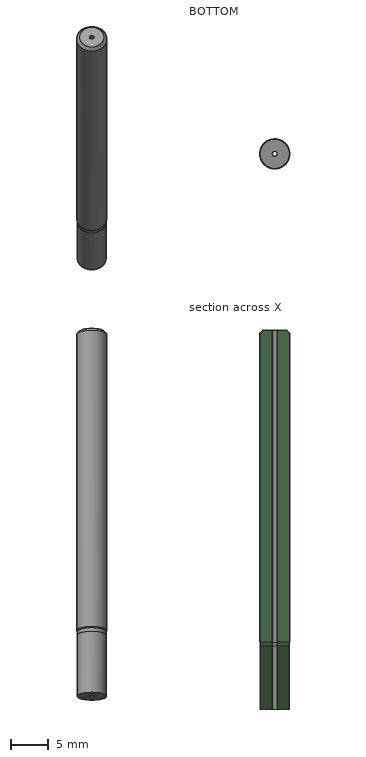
import cadquery as cq

total_length = 50.0
rod_diameter = 4.0
tip_diameter = 3.85
bore_diameter = 0.6

tip_length = 8.35
joint_thickness = 0.5
rod_bottom = tip_length + joint_thickness

top_chamfer = 0.4
bottom_taper_height = 0.15


def bored_cylinder(diameter, bottom, length):
    """Upright cylinder on the Z axis with the common through bore."""
    return (
        cq.Workplane("XY")
        .workplane(offset=bottom)
        .circle(diameter / 2)
        .circle(bore_diameter / 2)
        .extrude(length)
    )


def make_rod():
    """Long rod, bevelled at the top and tapered to the tip diameter at the bottom."""
    rod_radius = rod_diameter / 2
    bore_radius = bore_diameter / 2
    profile = [
        (bore_radius, rod_bottom),
        (tip_diameter / 2, rod_bottom),
        (rod_radius, rod_bottom + bottom_taper_height),
        (rod_radius, total_length - top_chamfer),
        (rod_radius - top_chamfer, total_length),
        (bore_radius, total_length),
    ]
    return cq.Workplane("XZ").polyline(profile).close().revolve(360, (0, 0, 0), (0, 1, 0))


def make_joint():
    """Thin joining disc between the rod and the tip."""
    return bored_cylinder(tip_diameter, tip_length, joint_thickness)


def make_tip():
    """Plain cylindrical tip at the lower end."""
    return bored_cylinder(tip_diameter, 0, tip_length)


rod = make_rod()
joint = make_joint()
tip = make_tip()

result = cq.Compound.makeCompound([rod.val(), joint.val(), tip.val()])